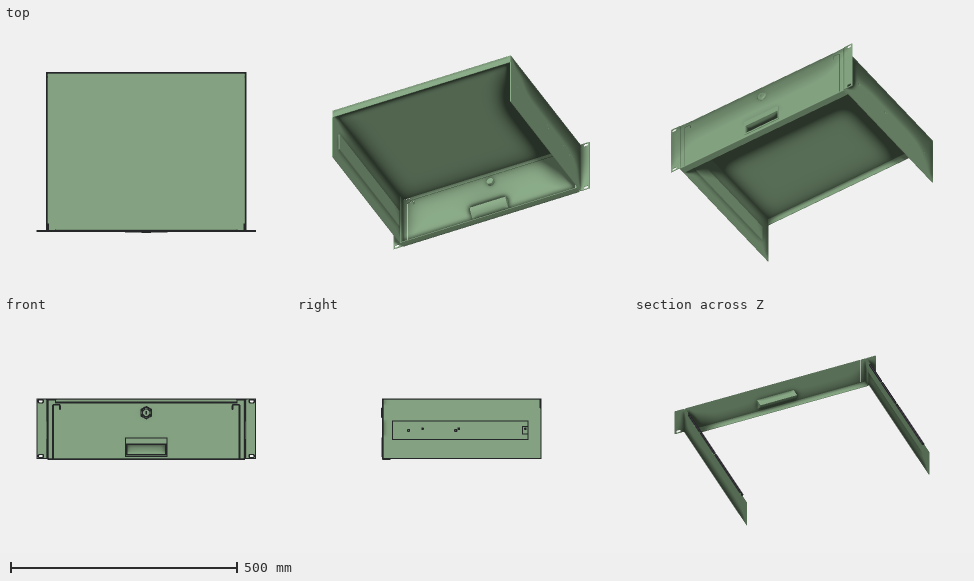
import cadquery as cq
import math


rack_width = 483.0
overall_depth = 353.0
overall_height = 134.0
case_width = 439.5
case_height = 132.0
case_top = overall_height / 2
case_bottom = case_top - case_height
case_back = overall_depth / 2
front_face = -174.0
sheet = 1.5
bend_radius = 1.7
ear_bend_radius = 2.15
sheet_back = front_face + sheet

lip_run = 9.5
front_lip_width = 400.0
front_lip_height = 9.5
rear_lip_width = case_width - 1.0
rear_lip_height = 19.5
ear_slot_length = 10.5
ear_slot_height = 7.0
ear_slot_corner = 2.5
ear_slot_x = 233.0
ear_slot_z = 60.5

rail_front = -151.5
rail_back = 148.0
rail_top = 18.5
rail_bottom = -23.0
rail_web = 3.0
tongue_length = 12.0
tongue_top = 6.0
tongue_bottom = -10.5
small_hole = 3.5
large_hole = 5.0
rail_hole_depth = 2.5
tongue_hole_y = 141.5
small_hole_z = 1.0
large_hole_z = -3.0
small_hole_ys = (-5.5, -85.5)
large_hole_ys = (-12.0, -116.5)

drawer_width = 434.5
drawer_top = 64.5
drawer_bottom = -overall_height / 2
drawer_flange = 16.5
notch_width = 400.0
notch_bottom = 60.0
slit_width = 1.5
slit_corner = 3.5
slit_outer_x = 206.5
slit_inner_x = 190.0
slit_top = 54.5
slit_hook_bottom = 44.0

handle_width = 92.0
handle_top = -20.0
handle_bottom = -60.0
handle_proud = 1.5
pocket_width = 85.0
pocket_top = -34.0
pocket_bottom = -56.0
scoop_radius = 38.5
scoop_start_angle = 25.0
cup_wall = 1.5

lock_z = 36.0
lock_front = -overall_depth / 2
lock_sides = 6
lock_flats = 23.5
lock_nut_proud = 0.5
lock_cone_base_radius = 11.5
lock_cone_top_radius = 8.5
lock_shank_radius = 7.5
lock_shank_length = 9.5
key_slot_width = 2.0
key_slot_height = 6.0
key_slot_depth = 1.5


def block(x_range, y_range, z_range):
    """Box between the given limits."""
    size = [high - low for low, high in (x_range, y_range, z_range)]
    return cq.Workplane("XY").box(*size, centered=False).translate((x_range[0], y_range[0], z_range[0]))


def centred_block(width, y_range, z_range):
    """Box that is symmetric about the YZ plane."""
    return block((-width / 2, width / 2), y_range, z_range)


def both_sides(shape):
    """A shape on the -X side together with its mirror image."""
    return shape.union(shape.mirror("YZ"))


def bent_lip(width, height):
    """Right-angle bend with its outer faces on y = 0 and z = 0, reaching to +Y and -Z."""
    outer = centred_block(width, (0, lip_run), (-height, 0))
    outer = outer.edges("<Y and >Z").fillet(bend_radius)
    inner = centred_block(width, (sheet, lip_run), (-height, -sheet))
    inner = inner.edges("<Y and >Z").fillet(bend_radius - sheet)
    return outer.cut(inner)


def y_cylinder(radius, x, z, y_start, y_end):
    """Cylinder along Y."""
    return cq.Workplane("XZ", origin=(x, y_start, z)).circle(radius).extrude(y_start - y_end)


def side_holes(diameter, ys, z, depth):
    """Holes drilled into the -X side from outside."""
    plane = cq.Workplane("YZ", origin=(-case_width / 2, 0, 0))
    return plane.pushPoints([(y, z) for y in ys]).circle(diameter / 2).extrude(depth)


def rail_window():
    """Opening through the -X side of the case, with a tongue left at its back end."""
    skin = (-case_width / 2, -case_width / 2 + sheet)
    window = block(skin, (rail_front, rail_back), (rail_bottom, rail_top))
    tongue = block(skin, (rail_back - tongue_length, rail_back), (tongue_bottom, tongue_top))
    return window.cut(tongue)


def case_shell():
    """Top and two sides folded from one sheet, open at the front, back and bottom."""
    y_range = (sheet_back, case_back)
    outer = centred_block(case_width, y_range, (case_bottom, case_top))
    outer = outer.edges("|Y and >Z").fillet(bend_radius)
    inner = centred_block(case_width - 2 * sheet, y_range, (case_bottom, case_top - sheet))
    inner = inner.edges("|Y and >Z").fillet(bend_radius - sheet)
    return outer.cut(inner)


def front_lip():
    strip = bent_lip(front_lip_width, front_lip_height)
    return strip.translate((0, sheet_back, case_top))


def rear_lip():
    strip = bent_lip(rear_lip_width, rear_lip_height)
    return strip.mirror("XZ").translate((0, case_back, case_top))


def lip_clearances():
    """Material that makes room for the bends of the two lips."""
    front = centred_block(
        front_lip_width,
        (sheet_back, sheet_back + bend_radius),
        (case_top - bend_radius, case_top),
    )
    rear = centred_block(
        case_width,
        (case_back - bend_radius, case_back),
        (case_top - rear_lip_height, case_top),
    )
    return front.union(rear)


def left_ear():
    """Mounting ear bent outward from the front of the -X side, with two slots."""
    inner_x = -case_width / 2 + sheet
    bend = (
        cq.Workplane("XY", origin=(0, 0, case_bottom))
        .moveTo(-rack_width / 2, front_face)
        .lineTo(inner_x - ear_bend_radius, front_face)
        .radiusArc((inner_x, front_face + ear_bend_radius), -ear_bend_radius)
        .lineTo(inner_x - sheet, front_face + ear_bend_radius)
        .radiusArc((inner_x - ear_bend_radius, sheet_back), ear_bend_radius - sheet)
        .lineTo(-rack_width / 2, sheet_back)
        .close()
        .extrude(case_height)
    )
    middle_z = (case_top + case_bottom) / 2
    slots = (
        cq.Workplane("XZ", origin=(-ear_slot_x, sheet_back, middle_z))
        .pushPoints([(0, -ear_slot_z), (0, ear_slot_z)])
        .rect(ear_slot_length, ear_slot_height)
        .extrude(sheet)
        .edges("|Y")
        .fillet(ear_slot_corner)
    )
    return bend.cut(slots)


def ear_clearance():
    """Front strip of the -X side that the ear bend takes the place of."""
    return block(
        (-case_width / 2, -case_width / 2 + sheet),
        (sheet_back, front_face + ear_bend_radius),
        (case_bottom, case_top),
    )


def make_case():
    shell = case_shell().cut(lip_clearances()).cut(both_sides(ear_clearance()))
    shell = shell.union(front_lip()).union(rear_lip()).union(both_sides(left_ear()))
    tongue_hole = side_holes(small_hole, [tongue_hole_y], small_hole_z, sheet)
    return shell.cut(both_sides(rail_window())).cut(both_sides(tongue_hole))


def make_rail(side):
    """Rail on the -X (side = -1) or +X (side = 1) wall; its raised face fills the window."""
    inner_x = -case_width / 2 + sheet
    web = block((inner_x, inner_x + rail_web), (rail_front, rail_back), (rail_bottom, rail_top))
    rail = web.union(rail_window())
    rail = rail.cut(side_holes(small_hole, small_hole_ys, small_hole_z, rail_hole_depth))
    rail = rail.cut(side_holes(large_hole, large_hole_ys, large_hole_z, rail_hole_depth))
    return rail if side < 0 else rail.mirror("YZ")


def left_slit():
    """J-shaped slit: up from the bottom, inward at the top and down in a short hook."""
    y_range = (front_face, sheet_back)
    slit_bottom = drawer_bottom + bend_radius
    outer = block((-slit_outer_x, -slit_inner_x), y_range, (slit_bottom, slit_top))
    outer = outer.edges("|Y and >Z").fillet(slit_corner)
    tab = block(
        (-slit_outer_x + slit_width, -slit_inner_x - slit_width),
        y_range,
        (slit_bottom, slit_top - slit_width),
    )
    tab = tab.edges("|Y and >Z").fillet(slit_corner - slit_width)
    below_hook = block(
        (-slit_inner_x - slit_width, -slit_inner_x), y_range, (slit_bottom, slit_hook_bottom)
    )
    return outer.cut(tab).cut(below_hook)


def make_drawer_front():
    """Front panel with flanges bent back along its two sides and its bottom."""
    y_range = (front_face, front_face + drawer_flange)
    outer = centred_block(drawer_width, y_range, (drawer_bottom, drawer_top))
    outer = outer.edges("<Y and (not >Z)").fillet(bend_radius)
    inner = centred_block(
        drawer_width - 2 * sheet,
        (sheet_back, front_face + drawer_flange),
        (drawer_bottom + sheet, drawer_top),
    )
    inner = inner.edges("<Y and (not >Z)").fillet(bend_radius - sheet)
    panel = outer.cut(inner)
    notch = centred_block(notch_width, (front_face, sheet_back), (notch_bottom, drawer_top))
    shank_hole = y_cylinder(lock_shank_radius, 0, lock_z, front_face, sheet_back)
    return panel.cut(notch).cut(both_sides(left_slit())).cut(shank_hole).cut(handle_cup())


def scoop(width, grow, front_y):
    """Hollow under the finger pull, behind front_y: its floor is one arc from the mouth to the roof."""
    mouth = front_face - handle_proud
    radius = scoop_radius + grow
    roof = pocket_top + grow
    start = math.radians(scoop_start_angle)
    centre_y = mouth - scoop_radius * math.sin(start)
    centre_z = pocket_bottom + scoop_radius * math.cos(start)
    mouth_angle = math.asin((mouth - centre_y) / radius)
    roof_angle = math.acos((centre_z - roof) / radius)

    def floor_point(angle):
        return (centre_y + radius * math.sin(angle), centre_z - radius * math.cos(angle))

    hollow = (
        cq.Workplane("YZ", origin=(-width / 2, 0, 0))
        .moveTo(mouth, roof)
        .lineTo(*floor_point(mouth_angle))
        .threePointArc(floor_point((mouth_angle + roof_angle) / 2), floor_point(roof_angle))
        .close()
        .extrude(width)
    )
    return hollow.cut(centred_block(width, (mouth - sheet, front_y), (handle_bottom, roof)))


def handle_cup():
    """Outside of the cup, from the drawer's front face inward."""
    return scoop(pocket_width + 2 * cup_wall, cup_wall, front_face)


def make_handle():
    mouth = front_face - handle_proud
    plate = centred_block(handle_width, (mouth, front_face), (handle_bottom, handle_top))
    return plate.union(handle_cup()).cut(scoop(pocket_width, 0, mouth))


def make_lock():
    """Hexagonal collar with a conical nose, a key slot and a shank through the drawer front."""
    nut_face = front_face - lock_nut_proud
    hexagon = (
        cq.Workplane("XZ", origin=(0, front_face, lock_z))
        .polygon(lock_sides, lock_flats / math.cos(math.pi / lock_sides))
        .extrude(lock_nut_proud)
        .rotate((0, 0, lock_z), (0, 1, lock_z), 180 / lock_sides)
    )
    cone = cq.Workplane("XY").add(
        cq.Solid.makeCone(
            lock_cone_base_radius,
            lock_cone_top_radius,
            nut_face - lock_front,
            cq.Vector(0, nut_face, lock_z),
            cq.Vector(0, -1, 0),
        )
    )
    shank = y_cylinder(lock_shank_radius, 0, lock_z, front_face, front_face + lock_shank_length)
    key_slot = centred_block(
        key_slot_width,
        (lock_front, lock_front + key_slot_depth),
        (lock_z - key_slot_height / 2, lock_z + key_slot_height / 2),
    )
    return hexagon.union(cone).union(shank).cut(key_slot)


case = make_case()
rails = [make_rail(side) for side in (-1, 1)]
drawer_front = make_drawer_front()
handle = make_handle()
lock = make_lock()

result = cq.Compound.makeCompound(
    [case.val(), *[rail.val() for rail in rails], drawer_front.val(), handle.val(), lock.val()]
)